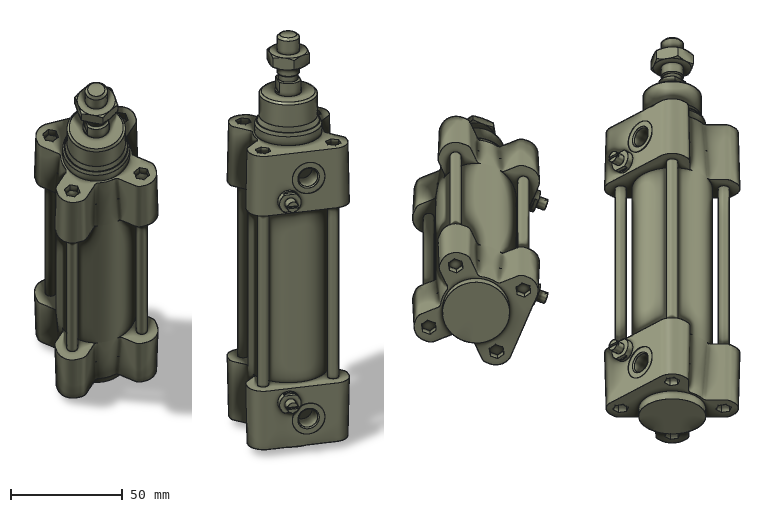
import cadquery as cq
import math

total_height = 196.0
rear_boss_height = 4.1
cover_height = 29.0
front_cover_top = 148.2
rear_cover_top = rear_boss_height + cover_height
mid_height = (rear_boss_height + front_cover_top) / 2

cover_half_width = 23.5
cover_draft = 1.0
notch_depth = 12.3
cover_corner_radius = 7.3
ear_radius = 4.1
valley_radius = 2.0
barrel_radius = 36.0 / 2
hub_outer_radius = 32.0 / 2

tie_rod_spacing = 32.5
tie_rod_radius = 5.0 / 2
socket_flats = 6.0
socket_depth = 4.0

port_y = -3.0
port_height = 13.0
port_mouth_radius = 10.0 / 2
port_bore_radius = 8.8 / 2
port_depth = 9.8
spot_radius = 15.0 / 2
spot_depth = 0.2

screw_y = 6.5
screw_height = 22.7
screw_tip_x = -31.0
screw_head_x = -26.5
screw_flange_x = -24.7
screw_inner_x = -21.5
screw_tip_radius = 5.0 / 2
screw_flange_radius = 10.0 / 2
screw_flats = 8.5
screw_slot_width = 1.0
screw_slot_depth = 1.2

boss_radius = 30.0 / 2
collar_radius = 26.0 / 2
collar_top = 168.2
collar_chamfer = 1.0
collar_foot = 156.5
lip_height = 154.0
lip_inner_radius = 14.0
lip_outer_radius = 14.3
shoulder_height = 152.5

rod_radius = 12.0 / 2
rod_flats = 10.0
rod_flats_bottom = 169.1
rod_shoulder = 174.5
neck_radius = 8.8 / 2
thread_radius = 10.0 / 2
thread_bottom = 177.0
rod_tip_chamfer = 1.2

nut_flats = 17.0
nut_bottom = 182.3
nut_height = 5.9
nut_chamfer_angle = 30.0


def hexagon_corners(flats):
    """Distance across the corners of a hexagon with the given distance across its flats."""
    return flats / math.cos(math.radians(30))


def turned(profile):
    """Solid of revolution about Z from (radius, height) points."""
    return cq.Workplane("XZ").polyline(profile).close().revolve(360, (0, 0), (0, 1))


def disc_along_x(x, y, z, radius, length):
    """Cylinder that starts at the given point and runs toward +X."""
    return cq.Workplane("YZ", origin=(x, y, z)).circle(radius).extrude(length)


def at_tie_rods(height):
    """Workplane at the given height with a point on each tie rod axis."""
    plane = cq.Workplane("XY", origin=(0, 0, height))
    return plane.rect(tie_rod_spacing, tie_rod_spacing, forConstruction=True).vertices()


def off_axis(edge):
    """Smaller of an edge's distances from the planes X = 0 and Y = 0."""
    return min(abs(edge.Center().x), abs(edge.Center().y))


def cover_plate():
    """Notched rear cover plate, widest at its barrel side."""
    half = cover_half_width
    ear = notch_depth
    root = half - notch_depth
    outline = [
        (-half, -half), (-ear, -half), (0, -root), (ear, -half),
        (half, -half), (half, -ear), (root, 0), (half, ear),
        (half, half), (ear, half), (0, root), (-ear, half), (-half, half),
    ]
    plate = cq.Workplane("XY", origin=(0, 0, rear_cover_top)).polyline(outline).close()
    plate = plate.extrude(-cover_height, taper=cover_draft)

    side_edges = "not(<Z or >Z)"
    corner_limit = (ear + half) / 2
    plate = plate.edges(side_edges).filter(lambda e: off_axis(e) > corner_limit).fillet(cover_corner_radius)
    return plate.edges(side_edges).filter(lambda e: root < off_axis(e) < corner_limit).fillet(ear_radius)


def cover_hub():
    """Cone that fills the notches and runs out into the barrel."""
    hub = cq.Workplane("XY", origin=(0, 0, rear_boss_height)).circle(hub_outer_radius)
    return hub.workplane(offset=cover_height).circle(barrel_radius).loft()


def draft_inset(height):
    """How far the drafted side has moved inward at a height above the cover's outer face."""
    return (cover_height - height) * math.tan(math.radians(cover_draft))


def air_port():
    """Cutter for a chamfered blind port in a shallow spot face."""
    z = rear_boss_height + port_height
    chamfer = port_mouth_radius - port_bore_radius
    seat_x = -cover_half_width + draft_inset(port_height) + spot_depth
    spot = disc_along_x(seat_x, port_y, z, spot_radius, -2 * spot_depth)
    bore = disc_along_x(seat_x, port_y, z, port_bore_radius, port_depth)
    mouth = cq.Workplane("YZ", origin=(seat_x, port_y, z)).circle(port_mouth_radius)
    mouth = mouth.workplane(offset=chamfer).circle(port_bore_radius).loft()
    return spot.union(bore).union(mouth)


def cushion_screw():
    """Slotted screw with two wrench flats and a round flange."""
    z = rear_boss_height + screw_height
    slot = cq.Workplane("YZ", origin=(screw_tip_x, screw_y, z)).rect(2 * screw_tip_radius, screw_slot_width)
    tip = disc_along_x(screw_tip_x, screw_y, z, screw_tip_radius, screw_inner_x - screw_tip_x)
    tip = tip.cut(slot.extrude(screw_slot_depth))

    head_length = screw_flange_x - screw_head_x
    flats = cq.Workplane("YZ", origin=(screw_head_x, screw_y, z)).rect(2 * screw_flange_radius, screw_flats)
    head = disc_along_x(screw_head_x, screw_y, z, screw_flange_radius, head_length)
    head = head.intersect(flats.extrude(head_length))

    flange_length = screw_inner_x - screw_flange_x
    flange = disc_along_x(screw_flange_x, screw_y, z, screw_flange_radius, flange_length)
    return tip.union(head).union(flange)


def rear_cover():
    """Complete rear cover with its port, cushion screw and tie rod sockets."""
    cover = cover_plate().union(cover_hub())

    def in_valley(edge):
        reach = math.hypot(edge.Center().x, edge.Center().y)
        return hub_outer_radius < reach < barrel_radius and edge.geomType() != "LINE"

    cover = cover.edges("not(<Z or >Z)").filter(in_valley).fillet(valley_radius)
    sockets = at_tie_rods(rear_boss_height).polygon(6, hexagon_corners(socket_flats)).extrude(socket_depth)
    return cover.cut(sockets).cut(air_port()).union(cushion_screw())


def guide_collar():
    """Stepped collar on the front cover, bored for the rod."""
    return turned([
        (rod_radius, front_cover_top),
        (boss_radius, front_cover_top),
        (boss_radius, shoulder_height),
        (lip_outer_radius, lip_height),
        (lip_inner_radius, lip_height),
        (collar_radius, collar_foot),
        (collar_radius, collar_top - collar_chamfer),
        (collar_radius - collar_chamfer, collar_top),
        (rod_radius, collar_top),
    ])


def make_housing():
    """Covers, barrel, tie rods, guide collar and rear boss as one body."""
    rear = rear_cover()
    front = rear.mirror("XY", (0, 0, mid_height))
    span = front_cover_top - cover_height - rear_cover_top
    barrel = cq.Workplane("XY", origin=(0, 0, rear_cover_top)).circle(barrel_radius).extrude(span)
    tie_rods = at_tie_rods(rear_cover_top).circle(tie_rod_radius).extrude(span)
    boss = cq.Workplane("XY").circle(boss_radius).extrude(rear_boss_height)
    return rear.union(front).union(barrel).union(tie_rods).union(boss).union(guide_collar())


def make_rod():
    """Piston rod from the front cover's outer face to its threaded tip."""
    relief = thread_radius - neck_radius
    rod = turned([
        (0, front_cover_top),
        (rod_radius, front_cover_top),
        (rod_radius, rod_shoulder),
        (neck_radius, rod_shoulder),
        (neck_radius, thread_bottom),
        (thread_radius, thread_bottom + relief),
        (thread_radius, total_height - rod_tip_chamfer),
        (thread_radius - rod_tip_chamfer, total_height),
        (0, total_height),
    ])
    flat_depth = rod_radius - rod_flats / 2
    flat_height = rod_shoulder - rod_flats_bottom
    for side in (-1, 1):
        flat_y = side * (rod_flats + flat_depth) / 2
        flat = cq.Workplane("XY", origin=(0, flat_y, rod_flats_bottom)).rect(2 * rod_radius, flat_depth)
        rod = rod.cut(flat.extrude(flat_height))
    return rod


def make_nut():
    """Hexagon nut with conical chamfers on both ends, corners along X."""
    corner_radius = hexagon_corners(nut_flats) / 2
    face_radius = nut_flats / 2
    chamfer_height = (corner_radius - face_radius) * math.tan(math.radians(nut_chamfer_angle))
    nut_top = nut_bottom + nut_height
    envelope = turned([
        (thread_radius, nut_bottom),
        (face_radius, nut_bottom),
        (corner_radius, nut_bottom + chamfer_height),
        (corner_radius, nut_top - chamfer_height),
        (face_radius, nut_top),
        (thread_radius, nut_top),
    ])
    hexagon = cq.Workplane("XY", origin=(0, 0, nut_bottom)).polygon(6, 2 * corner_radius).extrude(nut_height)
    return envelope.intersect(hexagon)


housing = make_housing()
rod = make_rod()
nut = make_nut()

result = cq.Compound.makeCompound([housing.val(), rod.val(), nut.val()])